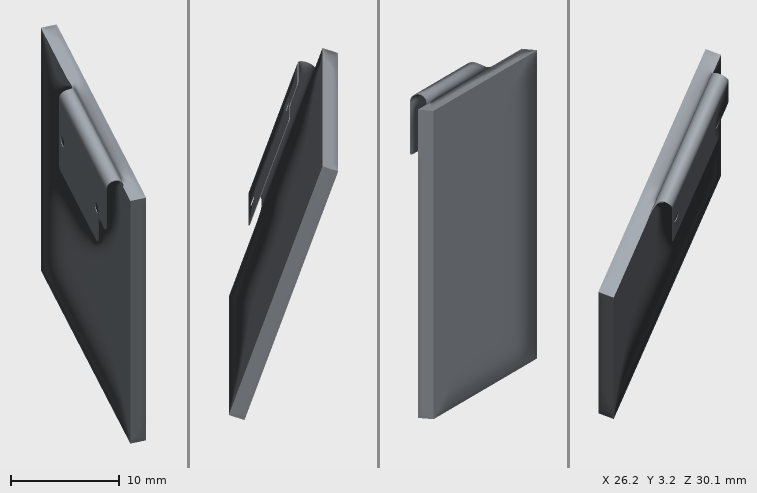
import cadquery as cq

plate_width = 26.17
plate_depth = 1.55
plate_height = 29.2

overall_height = 30.12
overall_depth = 3.2
sheet = 0.05
front_y = plate_depth - overall_depth
bend_radius = (sheet - front_y) / 2
bend_y = sheet - bend_radius
bend_z = overall_height - bend_radius

flap_left = 10.27
flap_right = 24.0
flap_bottom = 20.95
notch_left = 21.7
notch_top = 24.22
corner_radius = 0.48
notch_radius = 0.3

flare_left = 7.38

hole_diameter = 1.02
hole_z = 24.95
hole_xs = (11.3, 21.3)

clearance = 0.3


def make_plate():
    return cq.Workplane("XY").box(plate_width, plate_depth, plate_height, centered=False)


def make_bent_sheet():
    """Hook-shaped profile swept along X, rooted in the front layer of the plate."""
    root_z = plate_height - clearance
    inner_radius = bend_radius - sheet
    return (
        cq.Workplane("YZ", origin=(flare_left, 0, 0))
        .moveTo(sheet, root_z)
        .lineTo(sheet, bend_z)
        .threePointArc((bend_y, overall_height), (front_y, bend_z))
        .lineTo(front_y, flap_bottom)
        .lineTo(front_y + sheet, flap_bottom)
        .lineTo(front_y + sheet, bend_z)
        .threePointArc((bend_y, bend_z + inner_radius), (0, bend_z))
        .lineTo(0, root_z)
        .close()
        .extrude(flap_right - flare_left)
    )


def make_flare_cutter():
    """Space above an arc that rises from the plate's top edge to the crest of the bend."""
    run = flap_left - flare_left
    rise = overall_height - plate_height
    radius = (run**2 + rise**2) / (2 * rise)
    return (
        cq.Workplane("XZ", origin=(0, sheet, 0))
        .moveTo(flare_left, plate_height)
        .radiusArc((flap_left, overall_height), -radius)
        .lineTo(flap_left, overall_height + clearance)
        .lineTo(flare_left - clearance, overall_height + clearance)
        .lineTo(flare_left - clearance, plate_height)
        .close()
        .extrude(sheet - bend_y)
    )


def make_flap_envelope():
    """Rounded flap outline covering everything in front of the bend's crest."""
    outline_top = overall_height + clearance
    outline = (
        cq.Workplane("XZ", origin=(0, bend_y, 0))
        .moveTo(flap_left, outline_top)
        .lineTo(flap_left, flap_bottom)
        .lineTo(notch_left, flap_bottom)
        .lineTo(notch_left, notch_top)
        .lineTo(flap_right, notch_top)
        .lineTo(flap_right, outline_top)
        .close()
        .extrude(bend_y - front_y)
    )
    for x, z, radius in (
        (flap_left, flap_bottom, corner_radius),
        (notch_left, flap_bottom, corner_radius),
        (flap_right, notch_top, corner_radius),
        (notch_left, notch_top, notch_radius),
    ):
        corner = cq.selectors.NearestToPointSelector((x, (bend_y + front_y) / 2, z))
        outline = outline.edges("|Y").edges(corner).fillet(radius)
    return outline


def make_flap_holes():
    return (
        cq.Workplane("XZ", origin=(0, bend_y, 0))
        .pushPoints([(x, hole_z) for x in hole_xs])
        .circle(hole_diameter / 2)
        .extrude(bend_y - front_y)
    )


def make_rear_half():
    """Space behind the bend's crest, enclosing the rear half of the sheet."""
    return (
        cq.Workplane("XY")
        .box(plate_width, sheet - bend_y, overall_height, centered=False)
        .translate((0, bend_y, 0))
    )


bent_sheet = make_bent_sheet()
rear_sheet = bent_sheet.intersect(make_rear_half()).cut(make_flare_cutter())
front_sheet = bent_sheet.intersect(make_flap_envelope()).cut(make_flap_holes())
result = make_plate().union(rear_sheet).union(front_sheet)